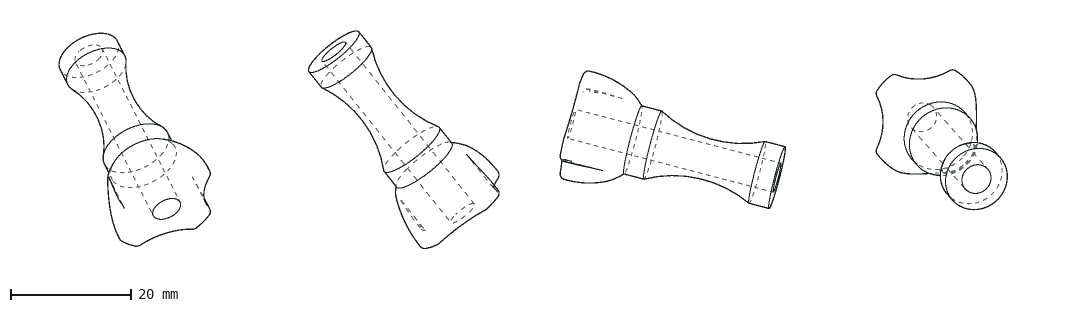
import cadquery as cq

length = 35.5
foot_length = 3.45
collar_start = 21.48
head_start = 24.92

foot_radius = 10.7 / 2
collar_radius = 11.8 / 2
waist_radius = 3.45
waist_x = 12.07
head_mid_x = 28.47
head_mid_radius = 8.4
head_end_radius = 9.65
bore_diameter = 5.0

scallop_count = 4
scallop_radius = 10.3
scallop_floor = 6.95

edge_fillet = 0.92


def turned_body():
    """Foot, waisted neck, collar and domed head, revolved about X."""
    profile = (
        cq.Workplane("XY")
        .lineTo(0, foot_radius)
        .lineTo(foot_length, foot_radius)
        .threePointArc((waist_x, waist_radius), (collar_start, collar_radius))
        .lineTo(head_start, collar_radius)
        .threePointArc((head_mid_x, head_mid_radius), (length, head_end_radius))
        .lineTo(length, 0)
        .close()
    )
    return profile.revolve(360, (0, 0, 0), (1, 0, 0))


def scallop_cutter(angle):
    """Cylinder parallel to X that hollows one side of the head."""
    middle_x = (head_start + length) / 2
    cutter_length = 2 * (length - head_start)
    return (
        cq.Workplane("YZ")
        .circle(scallop_radius)
        .extrude(cutter_length / 2, both=True)
        .translate((middle_x, 0, scallop_floor + scallop_radius))
        .rotate((0, 0, 0), (1, 0, 0), angle)
    )


body = turned_body()
for i in range(scallop_count):
    body = body.cut(scallop_cutter(i * 360 / scallop_count))

rims_and_end = cq.selectors.BoxSelector(
    (head_start + 0.35, -length, -length), (length + 0.35, length, length)
)
body = body.edges(rims_and_end).fillet(edge_fillet)

bore = cq.Workplane("YZ").circle(bore_diameter / 2).extrude(length)
result = body.cut(bore)